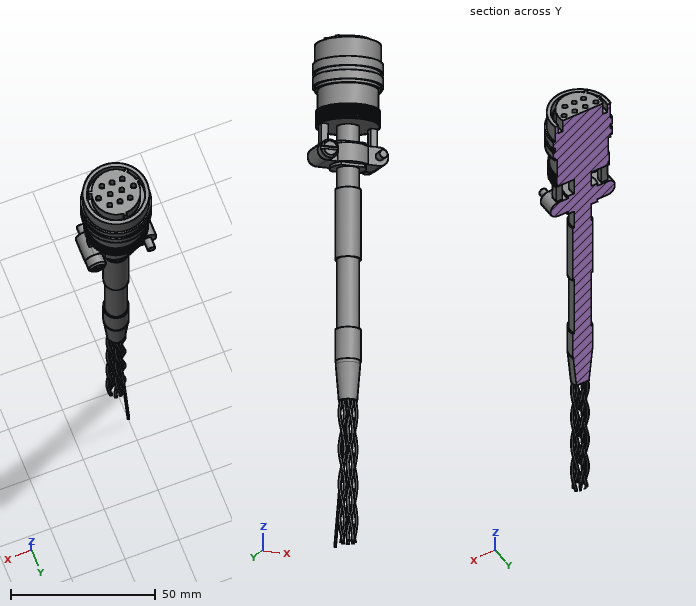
import cadquery as cq
import math


total_height = 180.5

cable_radius = 4.0
sleeve_radius = 4.5
upper_sleeve_bottom, upper_sleeve_top = 102.0, 127.0
lower_sleeve_bottom, lower_sleeve_top = 65.2, 76.5
taper_top = 64.0
taper_bottom = 50.9
taper_end_radius = 3.2
taper_start_radius = 4.3

pair_count = 4
pair_offset = 2.2
strand_radius = 0.45
strand_offset = 0.9
twists = 2
strand_embed = 0.4
twist_pitch = (taper_bottom + strand_embed) / twists

drain_radius = 0.4
drain_start = (0, 2.5, 43.3)
drain_end = (0, 12.0, 1.5)

shell_radius = 11.5
ring_radius = 12.3
body_radius = 10.6
knurl_radius = 11.2
shell_top = 179.0
rings = [(168.8, 172.0), (163.9, 167.1)]
shell_bottom = 162.8
knurl_top = 155.2
knurl_bottom = 151.3
flange_top = 150.5
flange_bottom = 149.8
knurl_grooves = 90
knurl_depth = 0.27

insert_radius = 8.5
insert_gap_radius = 10.1
insert_gap_depth = 3.6
key_reach = 9.4
key_width = 1.0
key_angles = [90, 190, 225, 340]
contact_radius = 0.9
contact_depth = 3.6
outer_row_spacing = 3.8
middle_row_spacing = 4.3

clamp_z = 139.0
clamp_width = 26.5
clamp_depth = 9.2
ear_x = 10.0
ear_radius = clamp_width / 2 - ear_x
ear_half_length = clamp_depth / 2
arch_half_width = 5.8
arch_rise = 2.2
collar_radius = 6.3
collar_height = 8.8
post_x = 9.2
post_width = 2.5

screw_radius = 1.5
screw_length = 17.0
screw_reach = screw_length / 2
head_radius = 3.2
head_chamfer = 0.7
slot_width = 1.0
slot_depth = 1.0


def cylinder(radius, bottom, top):
    return cq.Workplane("XY").workplane(offset=bottom).circle(radius).extrude(top - bottom)


def make_shell():
    shell = cylinder(shell_radius, shell_bottom, shell_top)
    for bottom, top in rings:
        shell = shell.union(cylinder(ring_radius, bottom, top))
    gap_floor = shell_top - insert_gap_depth
    shell = shell.cut(cylinder(insert_gap_radius, gap_floor, total_height))
    shell = shell.union(cylinder(body_radius, flange_bottom, shell_bottom))
    shell = shell.union(make_knurl(flange_bottom, flange_top))
    return shell.union(make_knurl(knurl_bottom, knurl_top))


def make_knurl(bottom, top):
    """Disc with straight V-shaped grooves round its edge."""
    step = math.pi / knurl_grooves
    outline = []
    for i in range(2 * knurl_grooves):
        radius = knurl_radius - knurl_depth * (i % 2)
        outline.append((radius * math.cos(i * step), radius * math.sin(i * step)))
    knurl = cq.Workplane("XY").workplane(offset=bottom).polyline(outline).close()
    return knurl.extrude(top - bottom)


def make_insert():
    """Insert standing in an annular gap, with locating keys and contact sockets."""
    bottom = shell_top - insert_gap_depth
    height = total_height - bottom
    insert = cylinder(insert_radius, bottom, total_height)
    for angle in key_angles:
        key = cq.Workplane("XY").box(key_reach, key_width, height, centered=(False, True, False))
        insert = insert.union(key.rotate((0, 0, 0), (0, 0, 1), angle).translate((0, 0, bottom)))
    contacts = [(i * middle_row_spacing, 0) for i in (-1.5, -0.5, 0.5, 1.5)]
    for side in (-1, 1):
        contacts += [(i * outer_row_spacing, side * outer_row_spacing) for i in (-1, 0, 1)]
    holes = cq.Workplane("XY").workplane(offset=total_height - contact_depth)
    return insert.cut(holes.pushPoints(contacts).circle(contact_radius).extrude(contact_depth))


def make_cable():
    cable = cylinder(cable_radius, lower_sleeve_bottom, flange_bottom)
    cable = cable.union(cylinder(sleeve_radius, upper_sleeve_bottom, upper_sleeve_top))
    cable = cable.union(cylinder(sleeve_radius, lower_sleeve_bottom, lower_sleeve_top))
    cable = cable.union(cylinder(taper_start_radius, taper_top, lower_sleeve_bottom))
    taper = cq.Workplane("XY").workplane(offset=taper_bottom).circle(taper_end_radius)
    taper = taper.workplane(offset=taper_top - taper_bottom).circle(taper_start_radius).loft()
    return cable.union(taper)


def make_screw():
    """Screw along Y at the -X ear, its slotted head toward -Y."""
    head_length = screw_reach - ear_half_length
    head = cq.Workplane("XZ").workplane(offset=ear_half_length).circle(head_radius)
    head = head.extrude(head_length).faces("<Y").chamfer(head_chamfer)
    slot = cq.Workplane("XY").box(2 * head_radius, 2 * slot_depth, slot_width)
    head = head.cut(slot.translate((0, -screw_reach, 0)))
    shank_length = screw_reach + ear_half_length
    shank = cq.Workplane("XZ").workplane(offset=-screw_reach).circle(screw_radius).extrude(shank_length)
    return head.union(shank).translate((-ear_x, 0, clamp_z))


def make_clamp():
    """Strap arched over the cable on both sides, with its collar, screws and support posts."""
    arch_y = ear_half_length + arch_rise
    strap = (
        cq.Workplane("XY").workplane(offset=clamp_z - ear_radius)
        .moveTo(-ear_x, -ear_half_length)
        .lineTo(-arch_half_width, -ear_half_length)
        .threePointArc((0, -arch_y), (arch_half_width, -ear_half_length))
        .lineTo(ear_x, -ear_half_length)
        .lineTo(ear_x, ear_half_length)
        .lineTo(arch_half_width, ear_half_length)
        .threePointArc((0, arch_y), (-arch_half_width, ear_half_length))
        .lineTo(-ear_x, ear_half_length)
        .close()
        .extrude(2 * ear_radius)
    )
    ears = cq.Workplane("XZ").pushPoints([(-ear_x, clamp_z), (ear_x, clamp_z)])
    clamp = strap.union(ears.circle(ear_radius).extrude(ear_half_length, both=True))
    collar = cylinder(collar_radius, clamp_z - collar_height / 2, clamp_z + collar_height / 2)
    flats = cq.Workplane("XY").box(2 * collar_radius, clamp_depth, collar_height).translate((0, 0, clamp_z))
    clamp = clamp.union(collar.intersect(flats))
    screw = make_screw()
    clamp = clamp.union(screw).union(screw.rotate((0, 0, 0), (0, 0, 1), 180))
    posts = cq.Workplane("XY").workplane(offset=clamp_z).pushPoints([(-post_x, 0), (post_x, 0)])
    return clamp.union(posts.rect(post_width, post_width).extrude(flange_top - clamp_z))


def make_strands():
    """Helical wires in loose left-handed pairs spaced evenly round the axis."""
    half_turn = cq.Workplane("XY").moveTo(strand_offset, 0).circle(strand_radius)
    half_turn = half_turn.twistExtrude(twist_pitch / 2, -180)
    strand = half_turn
    for i in range(1, 2 * twists):
        turned = half_turn.rotate((0, 0, 0), (0, 0, 1), -180 * i)
        strand = strand.union(turned.translate((0, 0, i * twist_pitch / 2)))
    strands = []
    for i in range(pair_count):
        for start_angle in (90, 270):
            wire = strand.rotate((0, 0, 0), (0, 0, 1), start_angle).translate((pair_offset, 0, 0))
            strands.append(wire.rotate((0, 0, 0), (0, 0, 1), i * 360 / pair_count))
    return strands


def make_drain_wire():
    start = cq.Vector(*drain_start)
    line = cq.Vector(*drain_end) - start
    return cq.Workplane(obj=cq.Solid.makeCylinder(drain_radius, line.Length, start, line))


result = make_shell().union(make_insert()).union(make_cable()).union(make_clamp())
for strand in make_strands():
    result = result.union(strand)
result = result.union(make_drain_wire())